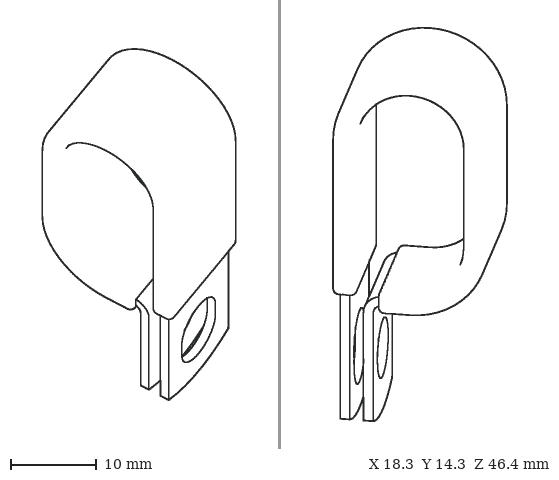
import cadquery as cq

total_height = 46.4
loop_width = 18.32
cushion_depth = 14.3
cushion_thickness = 2.85
edge_radius = 0.75
side_length = 12.65
right_end_drop = 29.0
lower_run = 3.75

strap_thickness = 1.15
strap_depth = 12.7
strap_embed = 1.4
bent_tab_outer_x = 5.55
bend_inner_radius = 1.0

hole_diameter = 7.15
slot_length = 9.1
hole_drop = 38.45
tab_end_sag = 1.35

outer_radius = loop_width / 2
inner_radius = outer_radius - cushion_thickness
middle_radius = outer_radius - cushion_thickness / 2
right_end_z = outer_radius - right_end_drop
bottom_z = outer_radius - total_height
hole_z = outer_radius - hole_drop


def front_plane():
    """XZ plane whose symmetric extrusions are centred on Y = 0."""
    return cq.Workplane("XZ")


def make_cushion():
    """Thick open loop with every edge rounded."""
    diagonal = 0.5 ** 0.5
    outer_diagonal = outer_radius * diagonal
    inner_diagonal = inner_radius * diagonal
    profile = (
        front_plane()
        .moveTo(outer_radius, right_end_z)
        .lineTo(outer_radius, 0)
        .threePointArc((0, outer_radius), (-outer_radius, 0))
        .lineTo(-outer_radius, -side_length)
        .threePointArc(
            (-outer_diagonal, -side_length - outer_diagonal),
            (0, -side_length - outer_radius),
        )
        .lineTo(lower_run, -side_length - outer_radius)
        .lineTo(lower_run, -side_length - inner_radius)
        .lineTo(0, -side_length - inner_radius)
        .threePointArc(
            (-inner_diagonal, -side_length - inner_diagonal),
            (-inner_radius, -side_length),
        )
        .lineTo(-inner_radius, 0)
        .threePointArc((0, inner_radius), (inner_radius, 0))
        .lineTo(inner_radius, right_end_z)
        .close()
    )
    return profile.extrude(cushion_depth / 2, both=True).edges().fillet(edge_radius)


def make_straight_tab():
    """Flat strap continuing down from the right-hand side of the loop."""
    tab_top_z = right_end_z + strap_embed
    return (
        front_plane()
        .center(middle_radius, (tab_top_z + bottom_z) / 2)
        .rect(strap_thickness, tab_top_z - bottom_z)
        .extrude(strap_depth / 2, both=True)
    )


def make_bent_tab():
    """Strap leaving the lower run and turning down beside the straight tab."""
    strap_top_z = -side_length - middle_radius + strap_thickness / 2
    strap_start_x = lower_run - strap_embed
    bend_outer_radius = bend_inner_radius + strap_thickness
    bend_x = bent_tab_outer_x - bend_outer_radius
    bend_z = strap_top_z - bend_outer_radius
    return (
        front_plane()
        .moveTo(strap_start_x, strap_top_z)
        .lineTo(bend_x, strap_top_z)
        .radiusArc((bent_tab_outer_x, bend_z), bend_outer_radius)
        .lineTo(bent_tab_outer_x, bottom_z)
        .lineTo(bent_tab_outer_x - strap_thickness, bottom_z)
        .lineTo(bent_tab_outer_x - strap_thickness, bend_z)
        .radiusArc((bend_x, strap_top_z - strap_thickness), -bend_inner_radius)
        .lineTo(strap_start_x, strap_top_z - strap_thickness)
        .close()
        .extrude(strap_depth / 2, both=True)
    )


def make_tab_outline():
    """Solid bounding the tabs, with a curved lower end."""
    half_depth = strap_depth / 2
    corner_z = bottom_z + tab_end_sag
    return (
        cq.Workplane("YZ")
        .moveTo(-half_depth, 0)
        .lineTo(-half_depth, corner_z)
        .threePointArc((0, bottom_z), (half_depth, corner_z))
        .lineTo(half_depth, 0)
        .close()
        .extrude(outer_radius)
    )


def make_round_hole():
    """Cylinder through the bent tab."""
    return (
        cq.Workplane("YZ")
        .center(0, hole_z)
        .circle(hole_diameter / 2)
        .extrude(outer_radius)
    )


def make_slot():
    """Upright round-ended slot through the straight tab."""
    return (
        cq.Workplane("YZ")
        .center(0, hole_z)
        .slot2D(slot_length, hole_diameter, 90)
        .extrude(outer_radius)
    )


straight_tab = make_straight_tab().cut(make_slot())
bent_tab = make_bent_tab().cut(make_round_hole())
tabs = straight_tab.union(bent_tab).intersect(make_tab_outline())
result = make_cushion().union(tabs)